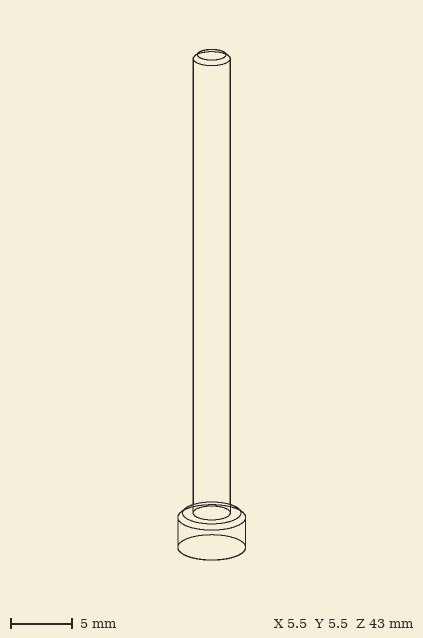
import cadquery as cq

total_length = 43.0
head_diameter = 5.5
head_height = 3.0
shank_diameter = 3.0

head_chamfer = 0.4
tip_chamfer = 0.35


def chamfered_cylinder(diameter, height, chamfer):
    """Upright cylinder standing on Z = 0 with a chamfered top rim."""
    cylinder = cq.Workplane("XY").circle(diameter / 2).extrude(height)
    return cylinder.faces(">Z").edges().chamfer(chamfer)


head = chamfered_cylinder(head_diameter, head_height, head_chamfer)
shank = chamfered_cylinder(shank_diameter, total_length, tip_chamfer)

result = head.union(shank)